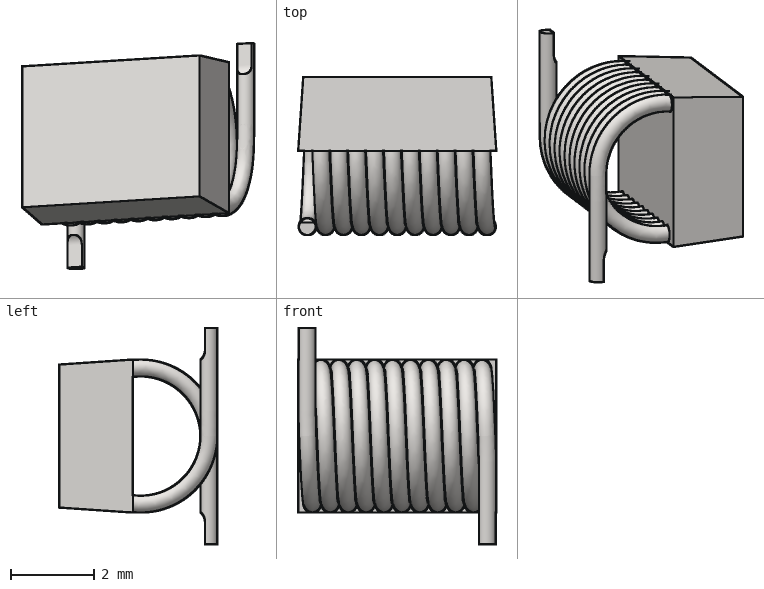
import cadquery as cq
import math


wire_diameter = 0.41
wire_radius = wire_diameter / 2
coil_outer_radius = 1.845
coil_radius = coil_outer_radius - wire_radius
turns = 10
pitch = 0.431
coil_length = turns * pitch

lead_end_height = 2.605
bend_height = 0.615
flat_depth = 0.11
flat_length = 0.54
runout_length = 0.23

block_width = 4.77
block_height = 2 * coil_outer_radius
block_depth = 1.775
block_taper = 3.9
block_front_y = 0.19

coil_start = cq.Vector(-coil_length / 2, -coil_radius, 0)
turn_length = 2 * math.pi * coil_radius
start_tangent = cq.Vector(-pitch, 0, turn_length).normalized()
bend_shift = bend_height * pitch / turn_length / 2
bend_end = coil_start + cq.Vector(-bend_shift, 0, bend_height)
up = cq.Vector(0, 0, 1)


def make_helix_turns():
    helix_plane = cq.Plane(origin=(coil_start.x, 0, 0), xDir=(0, -1, 0), normal=(1, 0, 0))
    helix = cq.Wire.makeHelix(pitch, coil_length, coil_radius).moved(cq.Location(helix_plane))
    section_plane = cq.Plane(origin=coil_start, xDir=(0, 1, 0), normal=start_tangent)
    return cq.Workplane(section_plane).circle(wire_radius).sweep(cq.Workplane(helix), isFrenet=True)


def make_flat_cutter():
    """Material removed for a lead's flat, with a tangent arc running out to the full wire."""
    back_y = bend_end.y + wire_radius
    flat_y = back_y - flat_depth
    flat_bottom = lead_end_height - flat_length
    runout_radius = (runout_length**2 + flat_depth**2) / (2 * flat_depth)
    half_angle = math.asin(runout_length / runout_radius) / 2
    arc_middle = (
        flat_y + runout_radius * (1 - math.cos(half_angle)),
        flat_bottom - runout_radius * math.sin(half_angle),
    )
    return (
        cq.Workplane("YZ", origin=(bend_end.x, 0, 0))
        .moveTo(flat_y, lead_end_height)
        .lineTo(flat_y, flat_bottom)
        .threePointArc(arc_middle, (back_y, flat_bottom - runout_length))
        .lineTo(back_y, lead_end_height)
        .close()
        .extrude(wire_radius, both=True)
    )


def make_lead():
    """The upper lead, at the -X end of the coil."""
    bend_path = cq.Edge.makeSpline([coil_start, bend_end], tangents=[start_tangent, up])
    section_plane = cq.Plane(origin=coil_start, xDir=(0, 1, 0), normal=start_tangent)
    bend = cq.Workplane(section_plane).circle(wire_radius).sweep(cq.Workplane(bend_path))
    straight = (
        cq.Workplane("XY", origin=bend_end)
        .circle(wire_radius)
        .extrude(lead_end_height - bend_height)
        .cut(make_flat_cutter())
    )
    return bend.union(straight)


def make_winding(helix_turns):
    upper_lead = make_lead()
    lower_lead = upper_lead.rotate((0, 0, 0), (0, 1, 0), 180)
    return helix_turns.union(upper_lead).union(lower_lead)


def make_block(helix_turns):
    """Tapered block with a helical channel filled by the back of the coil."""
    front_plane = cq.Plane(origin=(0, block_front_y, 0), xDir=(-1, 0, 0), normal=(0, 1, 0))
    body = cq.Workplane(front_plane).rect(block_width, block_height).extrude(block_depth, taper=block_taper)
    return body.cut(helix_turns)


helix_turns = make_helix_turns()
winding = make_winding(helix_turns)
block = make_block(helix_turns)

result = cq.Compound.makeCompound([block.solids().val(), winding.solids().val()])